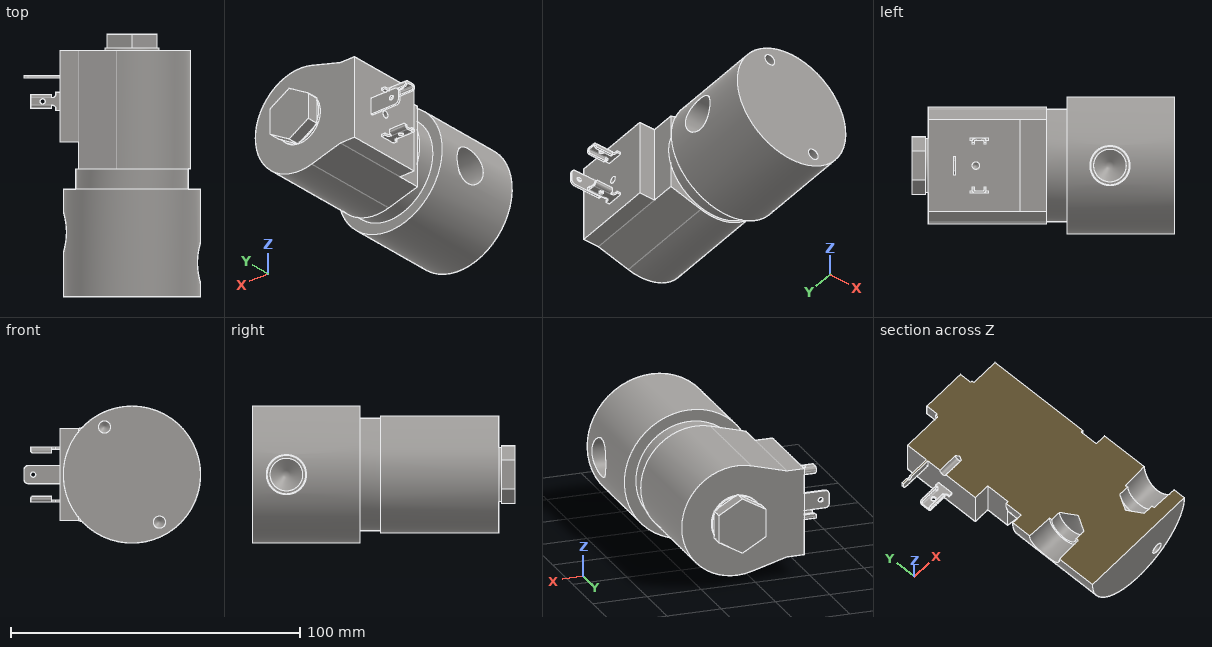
import cadquery as cq
import math


BODY_RADIUS = 23.75
BODY_LENGTH = 37.3
NECK_RADIUS = 19.5
NECK_LENGTH = 7.0

COIL_RADIUS = 20.3
COIL_LENGTH = 41.0
COIL_FLAT_X = -18.5
COIL_FLAT_HALF_HEIGHT = 15.95
COIL_FRONT_Y = BODY_LENGTH + NECK_LENGTH
COIL_REAR_Y = COIL_FRONT_Y + COIL_LENGTH

BLOCK_FACE_X = -24.9
BLOCK_LENGTH = 31.7

WASHER_DIAMETER = 18.8
WASHER_THICKNESS = 0.9
NUT_ACROSS_FLATS = 17.4
NUT_HEIGHT = 4.75
HEXAGON_SIDES = 6

DRILL_POINT_ANGLE = 118.0
MOUNT_CIRCLE_RADIUS = 19.0
MOUNT_ANGLES = (120.0, 300.0)
MOUNT_HOLE_DIAMETER = 4.2
MOUNT_HOLE_DEPTH = 10.0
SCREW_HOLE_DIAMETER = 2.6
SCREW_HOLE_DEPTH = 8.0
SCREW_HOLE_Y = 68.8

PORT_MOUTH_DIAMETER = 13.9
PORT_ROOT_DIAMETER = 13.3
PORT_THREAD_DEPTH = 10.0
PORT_BORE_DIAMETER = 11.3
PORT_BORE_DEPTH = 14.0
INLET_Y = 22.4
OUTLET_Y = 11.8

SHEET_THICKNESS = 0.8
BLADE_WIDTH = 6.35
TERMINAL_HOLE_DIAMETER = 1.7
EARTH_TIP_X = -37.39
EARTH_CORNER_RADIUS = 1.5
EARTH_HOLE_X = -34.2
EARTH_Y = 76.15
COIL_TERMINAL_Y = 67.65
COIL_TERMINAL_OUTER_Z = 9.55
COIL_TERMINAL_TIP_X = -35.1
COIL_TERMINAL_HOLE_X = -30.9
CHANNEL_REAR_X = -27.8
CHANNEL_WIDTH = 4.8
CHANNEL_HEIGHT = 2.1
CHANNEL_BEND_RADIUS = 1.1
CHANNEL_TIP_CHAMFER = 0.6
STEM_WIDTH = 2.8
FOOT_LENGTH = 1.5
FOOT_BLEND_RADIUS = 1.0
TERMINAL_EMBED = 1.0


def y_cylinder(radius, start_y, length):
    """Cylinder on the valve axis."""
    cylinder = cq.Solid.makeCylinder(radius, length, cq.Vector(0, start_y, 0), cq.Vector(0, 1, 0))
    return cq.Workplane(cylinder)


def drilled_hole(diameter, depth, mouth, direction):
    """Blind hole with a conical drill point; the depth is that of the cylindrical part."""
    radius = diameter / 2
    point_length = radius / math.tan(math.radians(DRILL_POINT_ANGLE / 2))
    start = cq.Vector(*mouth)
    axis = cq.Vector(*direction)
    shank = cq.Solid.makeCylinder(radius, depth, start, axis)
    point = cq.Solid.makeCone(radius, 0, point_length, start + axis * depth, axis)
    return cq.Workplane(shank.fuse(point))


def coil():
    """D-shaped housing with its sides tangent to the round part."""
    corner_distance = math.hypot(COIL_FLAT_X, COIL_FLAT_HALF_HEIGHT)
    corner_angle = math.atan2(COIL_FLAT_HALF_HEIGHT, COIL_FLAT_X)
    tangent_angle = corner_angle - math.acos(COIL_RADIUS / corner_distance)
    tangent_x = COIL_RADIUS * math.cos(tangent_angle)
    tangent_z = COIL_RADIUS * math.sin(tangent_angle)
    return (
        cq.Workplane("XZ", origin=(0, COIL_REAR_Y, 0))
        .moveTo(COIL_FLAT_X, -COIL_FLAT_HALF_HEIGHT)
        .lineTo(tangent_x, -tangent_z)
        .threePointArc((COIL_RADIUS, 0), (tangent_x, tangent_z))
        .lineTo(COIL_FLAT_X, COIL_FLAT_HALF_HEIGHT)
        .close()
        .extrude(COIL_LENGTH)
    )


def connector_block():
    depth = COIL_FLAT_X - BLOCK_FACE_X
    height = 2 * COIL_FLAT_HALF_HEIGHT
    block = cq.Workplane("XY").box(depth, BLOCK_LENGTH, height, centered=(False, False, True))
    return block.translate((BLOCK_FACE_X, COIL_REAR_Y - BLOCK_LENGTH, 0))


def washer_and_nut():
    """Washer and nut; two nut corners point along Z."""
    washer = y_cylinder(WASHER_DIAMETER / 2, COIL_REAR_Y, WASHER_THICKNESS)
    across_corners = NUT_ACROSS_FLATS / math.cos(math.pi / HEXAGON_SIDES)
    nut_rear_y = COIL_REAR_Y + WASHER_THICKNESS + NUT_HEIGHT
    nut = (
        cq.Workplane("XZ", origin=(0, nut_rear_y, 0))
        .transformed(rotate=(0, 0, 90))
        .polygon(HEXAGON_SIDES, across_corners)
        .extrude(NUT_HEIGHT)
    )
    return washer.union(nut)


def port(y, side):
    """Tapered port on the -X (side = -1) or +X (side = 1) side of the body."""
    mouth = (side * BODY_RADIUS, y, 0)
    inward = (-side, 0, 0)
    thread = cq.Solid.makeCone(
        PORT_MOUTH_DIAMETER / 2,
        PORT_ROOT_DIAMETER / 2,
        PORT_THREAD_DEPTH,
        cq.Vector(*mouth),
        cq.Vector(*inward),
    )
    bore = drilled_hole(PORT_BORE_DIAMETER, PORT_BORE_DEPTH, mouth, inward)
    return bore.union(cq.Workplane(thread))


def mounting_hole(angle):
    x = MOUNT_CIRCLE_RADIUS * math.cos(math.radians(angle))
    z = MOUNT_CIRCLE_RADIUS * math.sin(math.radians(angle))
    return drilled_hole(MOUNT_HOLE_DIAMETER, MOUNT_HOLE_DEPTH, (x, 0, z), (0, 1, 0))


def earth_terminal():
    """Flat blade standing square to the valve axis."""
    root_x = BLOCK_FACE_X + TERMINAL_EMBED
    return (
        cq.Workplane("XZ", origin=(0, EARTH_Y + SHEET_THICKNESS / 2, 0))
        .center((EARTH_TIP_X + root_x) / 2, 0)
        .rect(root_x - EARTH_TIP_X, BLADE_WIDTH)
        .extrude(SHEET_THICKNESS)
        .edges("|Y and <X")
        .fillet(EARTH_CORNER_RADIUS)
        .cut(
            cq.Workplane("XZ", origin=(EARTH_HOLE_X, EARTH_Y + SHEET_THICKNESS / 2, 0))
            .circle(TERMINAL_HOLE_DIAMETER / 2)
            .extrude(SHEET_THICKNESS)
        )
    )


def channel():
    """U-shaped contact with its web at COIL_TERMINAL_OUTER_Z and its flanges toward the valve axis."""
    length = CHANNEL_REAR_X - COIL_TERMINAL_TIP_X
    outer = (
        cq.Workplane("XY")
        .box(length, CHANNEL_WIDTH, CHANNEL_HEIGHT, centered=(False, True, False))
        .edges("|X and >Z")
        .fillet(CHANNEL_BEND_RADIUS)
        .edges("<X and <Z")
        .chamfer(CHANNEL_TIP_CHAMFER)
    )
    inner_width = CHANNEL_WIDTH - 2 * SHEET_THICKNESS
    inner_height = CHANNEL_HEIGHT - SHEET_THICKNESS
    inner = (
        cq.Workplane("XY")
        .box(length, inner_width, inner_height, centered=(False, True, False))
        .edges("|X and >Z")
        .fillet(CHANNEL_BEND_RADIUS - SHEET_THICKNESS)
    )
    base_z = COIL_TERMINAL_OUTER_Z - CHANNEL_HEIGHT
    return outer.cut(inner).translate((COIL_TERMINAL_TIP_X, COIL_TERMINAL_Y, base_z))


def coil_terminal():
    """Upper coil terminal: channel, narrow stem and a wide foot blended into the stem."""
    foot_x = BLOCK_FACE_X - FOOT_LENGTH
    root_x = BLOCK_FACE_X + TERMINAL_EMBED
    half_stem = STEM_WIDTH / 2
    half_foot = BLADE_WIDTH / 2
    blend_x = foot_x - FOOT_BLEND_RADIUS
    blend_mid_x = blend_x + FOOT_BLEND_RADIUS * math.sin(math.pi / 4)
    blend_mid_y = half_stem + FOOT_BLEND_RADIUS * (1 - math.cos(math.pi / 4))
    base_z = COIL_TERMINAL_OUTER_Z - SHEET_THICKNESS
    half_plate = (
        cq.Workplane("XY", origin=(0, COIL_TERMINAL_Y, base_z))
        .moveTo(CHANNEL_REAR_X, 0)
        .lineTo(CHANNEL_REAR_X, half_stem)
        .lineTo(blend_x, half_stem)
        .threePointArc((blend_mid_x, blend_mid_y), (foot_x, half_stem + FOOT_BLEND_RADIUS))
        .lineTo(foot_x, half_foot)
        .lineTo(root_x, half_foot)
        .lineTo(root_x, 0)
        .close()
        .extrude(SHEET_THICKNESS)
    )
    plate = half_plate.union(half_plate.mirror("XZ", (0, COIL_TERMINAL_Y, 0)))
    hole = (
        cq.Workplane("XY", origin=(COIL_TERMINAL_HOLE_X, COIL_TERMINAL_Y, base_z))
        .circle(TERMINAL_HOLE_DIAMETER / 2)
        .extrude(SHEET_THICKNESS)
    )
    return channel().union(plate).cut(hole)


result = y_cylinder(BODY_RADIUS, 0, BODY_LENGTH)
result = result.union(y_cylinder(NECK_RADIUS, BODY_LENGTH, NECK_LENGTH))
result = result.union(coil()).union(connector_block()).union(washer_and_nut())

result = result.cut(port(INLET_Y, -1)).cut(port(OUTLET_Y, 1))
for mount_angle in MOUNT_ANGLES:
    result = result.cut(mounting_hole(mount_angle))
result = result.cut(
    drilled_hole(SCREW_HOLE_DIAMETER, SCREW_HOLE_DEPTH, (BLOCK_FACE_X, SCREW_HOLE_Y, 0), (1, 0, 0))
)

upper_terminal = coil_terminal()
result = result.union(earth_terminal()).union(upper_terminal).union(upper_terminal.mirror("XY"))